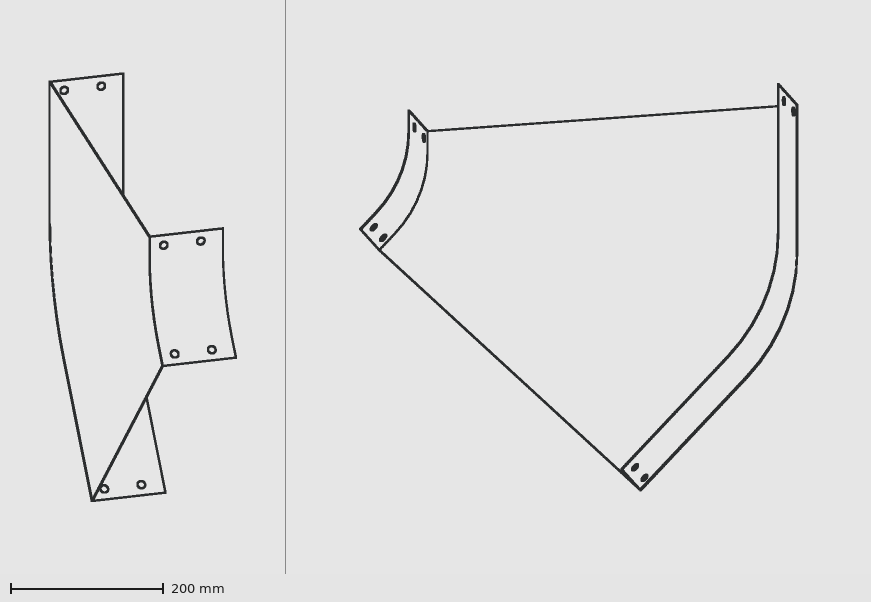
import cadquery as cq
import math

bend_angle = 45.0
plate_width = 500.0
inner_distance = 222.0
outer_distance = inner_distance + plate_width
inner_straight = 30.0
outer_straight = 203.5
flange_height = 100.0
thickness = 1.0

hole_diameter = 10.0
hole_end_offset = 14.5
hole_first_height = 20.0
hole_spacing = 50.5
cutter_length = 11.5
hole_heights = (hole_first_height, hole_first_height + hole_spacing)

half_angle = math.radians(bend_angle / 2)


def edge_points(distance, straight):
    """Start, arc start, arc middle, arc end and finish of one bent edge (X, Z)."""
    corner_run = distance * math.tan(half_angle)
    radius = (corner_run - straight) / math.tan(half_angle)
    centre_x = radius - distance
    arc_mid = (
        centre_x - radius * math.cos(half_angle),
        -straight - radius * math.sin(half_angle),
    )
    start = (-distance, 0)
    arc_start = (-distance, -straight)
    return [start, arc_start, arc_mid, mirrored(arc_start), mirrored(start)]


def mirrored(point):
    """Reflect a point across the line that halves the bend angle."""
    x, z = point
    turn = math.radians(bend_angle)
    return (x * math.cos(turn) + z * math.sin(turn), x * math.sin(turn) - z * math.cos(turn))


def band(near_edge, far_edge, depth):
    """Extrude the area between two bent edges towards +Y."""
    start, arc_start, arc_mid, arc_end, finish = far_edge
    outline = cq.Workplane("XZ").moveTo(*start).lineTo(*arc_start)
    outline = outline.threePointArc(arc_mid, arc_end).lineTo(*finish)
    start, arc_start, arc_mid, arc_end, finish = near_edge
    outline = outline.lineTo(*finish).lineTo(*arc_end)
    outline = outline.threePointArc(arc_mid, arc_start).lineTo(*start).close()
    return outline.extrude(-depth)


def end_holes(distance):
    """Cutters for the hole pairs at both ends of the flange at this distance."""
    turn = math.radians(bend_angle)
    ends = (
        ((-distance, -hole_end_offset), (1, 0)),
        (mirrored((-distance, -hole_end_offset)), (math.cos(turn), math.sin(turn))),
    )
    cutters = cq.Workplane("XZ")
    for (x, z), (axis_x, axis_z) in ends:
        for height in hole_heights:
            axis = cq.Vector(axis_x, 0, axis_z)
            base = cq.Vector(x, height, z) - axis * (cutter_length / 2)
            cutters = cutters.add(cq.Solid.makeCylinder(hole_diameter / 2, cutter_length, base, axis))
    return cutters.combine()


inner_edge = edge_points(inner_distance, inner_straight)
outer_edge = edge_points(outer_distance, outer_straight)

inner_flange_back = edge_points(inner_distance + thickness, inner_straight)
outer_flange_back = edge_points(outer_distance - thickness, outer_straight)

plate = band(inner_edge, outer_edge, thickness)
inner_flange = band(inner_edge, inner_flange_back, flange_height)
outer_flange = band(outer_flange_back, outer_edge, flange_height)

result = plate.union(inner_flange).union(outer_flange)
result = result.cut(end_holes(inner_distance)).cut(end_holes(outer_distance))